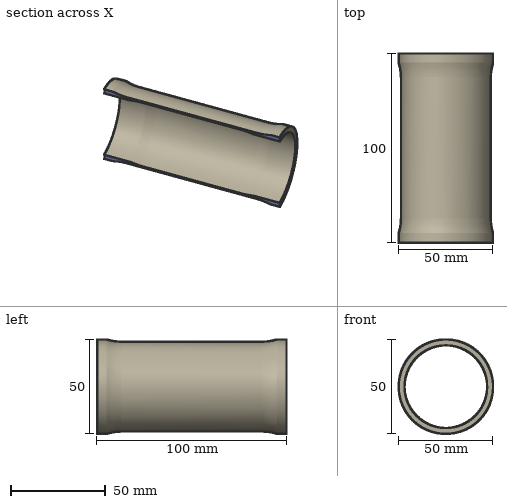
import cadquery as cq
import math

length = 100.0
collar_diameter = 50.0
body_diameter = 47.6
end_bore_diameter = 43.5
middle_bore_diameter = 45.0
collar_length = 5.0
end_bore_length = 15.0
blend_radius = 25.0

half_length = length / 2
collar_radius = collar_diameter / 2
body_radius = body_diameter / 2
end_bore_radius = end_bore_diameter / 2
middle_bore_radius = middle_bore_diameter / 2


def blend_run(step):
    """Axial length of an arc that leaves a cylinder tangentially and climbs by step."""
    return math.sqrt(blend_radius**2 - (blend_radius - step) ** 2)


def blend_rise(run):
    """Radial climb of the same arc at an axial distance run from its tangent end."""
    return blend_radius - math.sqrt(blend_radius**2 - run**2)


def waisted_cylinder(end_radius, middle_radius, land_length, step_sign):
    """Solid of revolution with a land at each end blending into a cylinder of middle_radius.

    step_sign is +1 where the ends are wider than the middle, -1 where they are narrower.
    """
    run = blend_run(abs(end_radius - middle_radius))
    land_y = half_length - land_length
    tangent_y = land_y - run
    arc_y = tangent_y + run / 2
    arc_radius = middle_radius + step_sign * blend_rise(run / 2)
    profile = (
        cq.Workplane("YZ")
        .moveTo(-half_length, 0)
        .lineTo(-half_length, end_radius)
        .lineTo(-land_y, end_radius)
        .threePointArc((-arc_y, arc_radius), (-tangent_y, middle_radius))
        .lineTo(tangent_y, middle_radius)
        .threePointArc((arc_y, arc_radius), (land_y, end_radius))
        .lineTo(half_length, end_radius)
        .lineTo(half_length, 0)
        .close()
    )
    return profile.revolve(360, (0, 0, 0), (1, 0, 0))


outside = waisted_cylinder(collar_radius, body_radius, collar_length, 1)

bore = waisted_cylinder(end_bore_radius, middle_bore_radius, end_bore_length, -1)

result = outside.cut(bore)